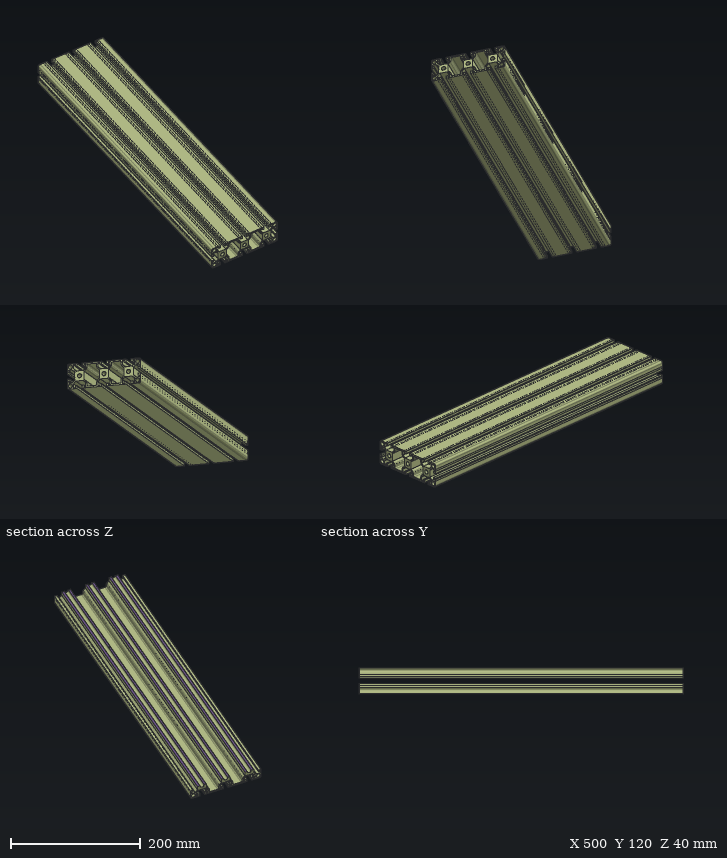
import cadquery as cq

length = 500.0
module = 40.0
module_count = 3
width = module * module_count
height = module
corner_radius = 3.5

slot_half_opening = 4.0
slot_half_chamber = 10.0
slot_depth = 12.0
floor_half_width = 6.0
skin = 1.5
lip_depth = 4.5
lip_width = 3.0

cavity_half_width = 12.5
cavity_wall = 2.5
cavity_top_radius = 2.0
cavity_shoulder_radius = 4.0
web_wall = 2.0
web_height = 3.0

core_hole_diameter = 6.5
corner_hole_diameter = 6.5
corner_hole_inset = 5.0


def row_positions(count):
    """Y positions of `count` features spaced one module apart, centred on the bar."""
    return [(i - (count - 1) / 2) * module for i in range(count)]


def mirrored_in_y(points):
    """Points reflected across the Z axis, in reverse order to continue the outline."""
    return [(-y, z) for y, z in reversed(points)]


def slot_cutter(face):
    """T-slot opening upwards through a face at height `face`."""
    ceiling = face - skin
    lip_bottom = face - lip_depth
    lip_end = slot_half_opening + lip_width
    floor = face - slot_depth
    slope_top = floor + slot_half_chamber - floor_half_width
    half_outline = [
        (slot_half_opening, face),
        (slot_half_opening, lip_bottom),
        (lip_end, lip_bottom),
        (lip_end, ceiling),
        (slot_half_chamber, ceiling),
        (slot_half_chamber, slope_top),
        (floor_half_width, floor),
    ]
    outline = half_outline + mirrored_in_y(half_outline)
    return cq.Workplane("YZ").polyline(outline).close().extrude(length)


def fillet_lengthwise_edges(cutter, level, radius):
    """Round the edges along X that lie at +level and -level in Z."""
    tolerance = 5e-06
    lengthwise = cutter.edges("|X").vals()
    chosen = [edge for edge in lengthwise if abs(abs(edge.Center().z) - level) < tolerance]
    return cutter.newObject(chosen).fillet(radius)


def cavity_cutter():
    """Hollow with 45 degree shoulders that run parallel to the flanks of the slots."""
    half_pitch = module / 2
    top = height / 2 - cavity_wall
    side = half_pitch - slot_half_chamber - web_wall
    slot_floor = height / 2 - slot_depth
    slope_lift = slot_floor - floor_half_width - web_height
    shoulder_bottom = half_pitch - cavity_half_width + slope_lift
    shoulder_top = half_pitch - side + slope_lift

    quarter = [(cavity_half_width, shoulder_bottom), (side, shoulder_top), (side, top)]
    upper = quarter + mirrored_in_y(quarter)
    lower = [(-y, -z) for y, z in upper]
    cutter = cq.Workplane("YZ").polyline(upper + lower).close().extrude(length)

    for level, radius in ((top, cavity_top_radius), (shoulder_top, cavity_shoulder_radius)):
        cutter = fillet_lengthwise_edges(cutter, level, radius)
    return cutter


bar = cq.Workplane("YZ").rect(width, height).extrude(length).edges("|X").fillet(corner_radius)

core_positions = row_positions(module_count)

top_slot = slot_cutter(height / 2)
bottom_slot = top_slot.mirror("XY")
for y in core_positions:
    bar = bar.cut(top_slot.translate((0, y, 0)))
    bar = bar.cut(bottom_slot.translate((0, y, 0)))

upright_slot = slot_cutter(width / 2)
for turn in (90, -90):
    bar = bar.cut(upright_slot.rotate((0, 0, 0), (1, 0, 0), turn))

cavity = cavity_cutter()
for y in row_positions(module_count - 1):
    bar = bar.cut(cavity.translate((0, y, 0)))

core_holes = (
    cq.Workplane("YZ")
    .pushPoints([(y, 0) for y in core_positions])
    .circle(core_hole_diameter / 2)
    .extrude(length)
)
corner_holes = (
    cq.Workplane("YZ")
    .rect(width - 2 * corner_hole_inset, height - 2 * corner_hole_inset, forConstruction=True)
    .vertices()
    .circle(corner_hole_diameter / 2)
    .extrude(length)
)
result = bar.cut(core_holes).cut(corner_holes)